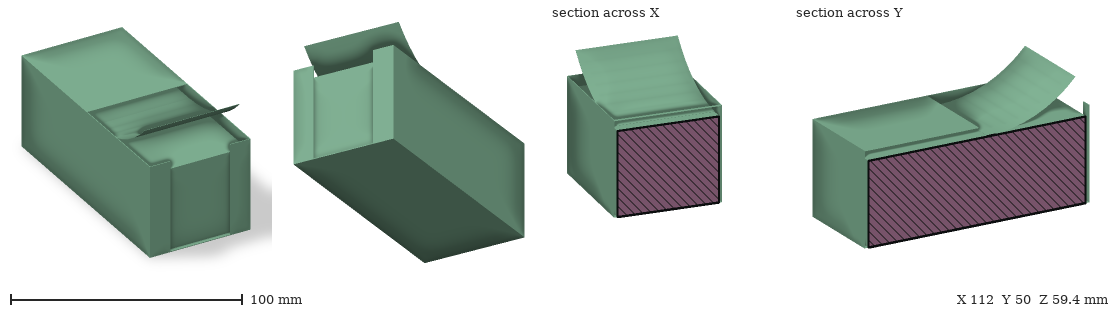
import cadquery as cq
import math

BOX_LENGTH = 112.0
BOX_WIDTH = 50.0
BOX_HEIGHT = 45.0
WALL = 0.3
LID_LENGTH = 56.9
NOTCH_WIDTH = 29.7

STACK_WIDTH = 47.3
END_GAP = 1.5
STACK_DROP = 4.8
STACK_LENGTH = BOX_LENGTH - 2 * (WALL + END_GAP)
STACK_TOP = BOX_HEIGHT - STACK_DROP
STACK_HEIGHT = STACK_TOP - WALL

SHEET_THICKNESS = 0.1
SHEET_START = 61.3
SHEET_END = 105.0
TOTAL_HEIGHT = 59.4
SHEET_RUN = SHEET_END - SHEET_START
SHEET_RISE = TOTAL_HEIGHT - STACK_TOP - SHEET_THICKNESS
SHEET_ANGLE = 2 * math.atan2(SHEET_RISE, SHEET_RUN)
SHEET_RADIUS = SHEET_RUN / math.sin(SHEET_ANGLE)


def block(length, width, height, x_start, z_start):
    """Block centred on Y, starting at the given X and Z."""
    return (
        cq.Workplane("XY")
        .box(length, width, height, centered=(False, True, False))
        .translate((x_start, 0, z_start))
    )


def make_box():
    shell = block(BOX_LENGTH, BOX_WIDTH, BOX_HEIGHT, 0, 0)
    cavity = block(
        BOX_LENGTH - 2 * WALL, BOX_WIDTH - 2 * WALL, BOX_HEIGHT - 2 * WALL, WALL, WALL
    )
    opening = block(
        BOX_LENGTH - WALL - LID_LENGTH, BOX_WIDTH - 2 * WALL, 2 * WALL, LID_LENGTH, BOX_HEIGHT - WALL
    )
    notch = block(2 * WALL, NOTCH_WIDTH, BOX_HEIGHT, BOX_LENGTH - WALL, WALL)
    return shell.cut(cavity).cut(opening).cut(notch)


def make_stack():
    return block(STACK_LENGTH, STACK_WIDTH, STACK_HEIGHT, WALL + END_GAP, WALL)


def arc_point(radius, angle):
    """Point on an arc about the curl centre, measured from straight down."""
    x = SHEET_START + radius * math.sin(angle)
    z = STACK_TOP + SHEET_THICKNESS + SHEET_RADIUS - radius * math.cos(angle)
    return (x, z)


def make_sheet():
    lower_radius = SHEET_RADIUS + SHEET_THICKNESS
    half_angle = SHEET_ANGLE / 2
    return (
        cq.Workplane("XZ")
        .moveTo(*arc_point(SHEET_RADIUS, 0))
        .threePointArc(arc_point(SHEET_RADIUS, half_angle), arc_point(SHEET_RADIUS, SHEET_ANGLE))
        .lineTo(*arc_point(lower_radius, SHEET_ANGLE))
        .threePointArc(arc_point(lower_radius, half_angle), arc_point(lower_radius, 0))
        .close()
        .extrude(STACK_WIDTH / 2, both=True)
    )


box = make_box()
stack = make_stack()
sheet = make_sheet()

result = cq.Compound.makeCompound([box.val(), stack.val(), sheet.val()])